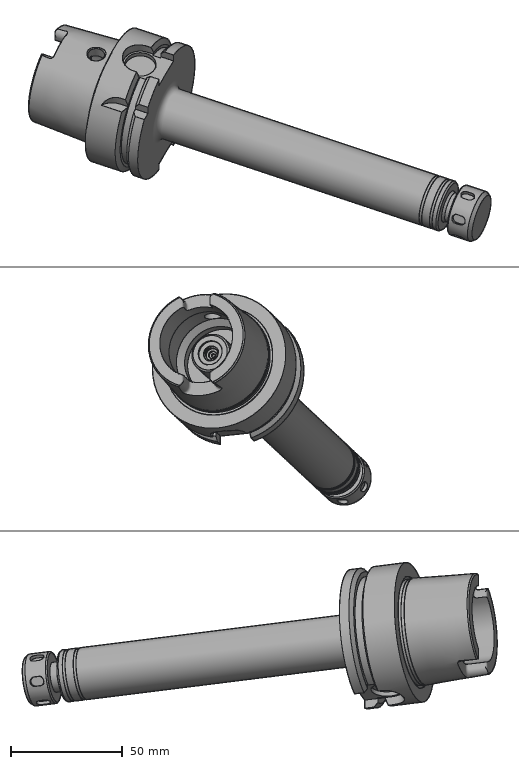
import cadquery as cq


length = 212.0

taper_front_radius = 45.5 / 2
taper_back_radius = 24.2
taper_end = 29.7
mouth_chamfer = 0.6
neck_radius = 23.7
neck_end = 31.2
collar_radius = 24.0

flange_start = 32.0
flange_end = 57.7
flange_radius = 63.0 / 2
relief_radius = 25.2
relief_depth = 0.6
groove_start = 46.6
groove_end = 53.2
groove_floor_radius = 55.0 / 2
groove_floor_start = 48.0
groove_floor_end = 51.5
groove_left_wall_radius = 28.8
groove_right_wall_radius = 29.7

shank_radius = 23.5 / 2
shank_end = 195.7
root_fillet = 3.0
shank_chamfer_length = 0.8
shank_chamfer_depth = 0.6
ring_starts = (186.5, 191.6)
ring_width = 1.3
ring_depth = 0.32

spindle_radius = 6.8
spindle_chamfer_length = 1.3
spindle_chamfer_depth = 0.6
nut_start = 200.1
nut_back_chamfer = 0.6
nut_front_chamfer_length = 1.7
nut_front_chamfer_depth = 1.3
nut_pocket_count = 6
nut_pocket_x = 205.2
nut_pocket_length = 6.4
nut_pocket_width = 4.2
nut_pocket_depth = 1.7

mouth_radius = 17.2
mouth_depth = 13.0
clamp_groove_radius = 18.5
clamp_groove_end = 27.1
bore_radius = 15.5
bore_cone_end = 29.7
bore_depth = 34.0
boss_radius = 9.0
boss_height = 14.5
boss_chamfer = 0.8
boss_hole_steps = ((11.2, 1.0), (7.0, 2.1), (5.7, 3.2), (3.5, 4.2), (1.7, 5.3))

access_x = 23.3
access_diameter = 7.5
access_sink_diameter = 8.7
access_sink_depth = 0.8

drive_slot_half_width = 6.1
drive_slot_flare = 3.2
drive_flare_start = 18.0
drive_slot_depth_top = 6.0
drive_slot_depth_bottom = 9.5
drive_slot_fillet = 1.3
drive_mouth_fillet = 1.0

slot_width = 16.0
slot_center_x = 45.0
slot_floor = 26.5
seat_diameter = 14.0
seat_depth = 2.1
notch_offset = 20.1
notch_center_x = 44.0
notch_width = 17.8


def revolve_about_x(profile):
    return profile.close().revolve(360, (0, 0, 0), (1, 0, 0))


def make_body():
    nut_edge_radius = shank_radius - nut_front_chamfer_depth
    profile = (
        cq.Workplane("XY")
        .lineTo(0, taper_front_radius - mouth_chamfer)
        .lineTo(mouth_chamfer, taper_front_radius)
        .lineTo(taper_end, taper_back_radius)
        .lineTo(taper_end, neck_radius)
        .lineTo(neck_end, neck_radius)
        .lineTo(neck_end, collar_radius)
        .lineTo(flange_start + relief_depth, collar_radius)
        .lineTo(flange_start + relief_depth, relief_radius)
        .lineTo(flange_start, relief_radius)
        .lineTo(flange_start, flange_radius)
        .lineTo(groove_start, flange_radius)
        .lineTo(groove_floor_start, groove_left_wall_radius)
        .lineTo(groove_floor_start, groove_floor_radius)
        .lineTo(groove_floor_end, groove_floor_radius)
        .lineTo(groove_floor_end, groove_right_wall_radius)
        .lineTo(groove_end, flange_radius)
        .lineTo(flange_end, flange_radius)
        .lineTo(flange_end, shank_radius + root_fillet)
        .radiusArc((flange_end + root_fillet, shank_radius), -root_fillet)
    )
    for start in ring_starts:
        profile = (
            profile.lineTo(start, shank_radius)
            .lineTo(start, shank_radius - ring_depth)
            .lineTo(start + ring_width, shank_radius - ring_depth)
            .lineTo(start + ring_width, shank_radius)
        )
    profile = (
        profile.lineTo(shank_end - shank_chamfer_length, shank_radius)
        .lineTo(shank_end, shank_radius - shank_chamfer_depth)
        .lineTo(shank_end, spindle_radius + spindle_chamfer_depth)
        .lineTo(shank_end + spindle_chamfer_length, spindle_radius)
        .lineTo(nut_start, spindle_radius)
        .lineTo(nut_start, shank_radius - nut_back_chamfer)
        .lineTo(nut_start + nut_back_chamfer, shank_radius)
        .lineTo(length - nut_front_chamfer_length, shank_radius)
        .lineTo(length, nut_edge_radius)
        .lineTo(length, 0)
    )
    return revolve_about_x(profile)


def make_bore():
    """Bore with a clamping groove that leaves a drilled boss standing on its floor."""
    boss_top = bore_depth - boss_height
    bore = revolve_about_x(
        cq.Workplane("XY")
        .lineTo(0, mouth_radius)
        .lineTo(mouth_depth, mouth_radius)
        .lineTo(mouth_depth, clamp_groove_radius)
        .lineTo(clamp_groove_end, clamp_groove_radius)
        .lineTo(bore_cone_end, bore_radius)
        .lineTo(bore_depth, bore_radius)
        .lineTo(bore_depth, boss_radius)
        .lineTo(boss_top + boss_chamfer, boss_radius)
        .lineTo(boss_top, boss_radius - boss_chamfer)
        .lineTo(boss_top, 0)
    )
    for diameter, depth in boss_hole_steps:
        bore = bore.union(cq.Workplane("YZ", (boss_top, 0, 0)).circle(diameter / 2).extrude(depth))
    return bore


def make_access_hole():
    """Hole through the +Z taper wall into the clamping groove, countersunk at the outside."""
    taper_slope = (taper_back_radius - taper_front_radius) / (taper_end - mouth_chamfer)
    surface = taper_front_radius + taper_slope * (access_x - mouth_chamfer)
    hole_radius = access_diameter / 2
    sink_radius = access_sink_diameter / 2
    profile = (
        cq.Workplane("XZ", (access_x, 0, 0))
        .moveTo(0, bore_radius)
        .lineTo(hole_radius, bore_radius)
        .lineTo(hole_radius, surface - access_sink_depth)
        .lineTo(sink_radius, surface)
        .lineTo(sink_radius, flange_radius)
        .lineTo(0, flange_radius)
    )
    return profile.close().revolve(360, (0, 0, 0), (0, 1, 0))


def make_drive_slot(depth):
    """Mouth slot on the +Z side whose walls flare out in an arc at the taper surface."""
    half = drive_slot_half_width
    wide = half + drive_slot_flare
    flare_end = drive_flare_start + drive_slot_flare
    slot = (
        cq.Workplane("YZ")
        .moveTo(-half, 0)
        .lineTo(half, 0)
        .lineTo(half, drive_flare_start)
        .radiusArc((wide, flare_end), drive_slot_flare)
        .lineTo(wide, flange_radius)
        .lineTo(-wide, flange_radius)
        .lineTo(-wide, flare_end)
        .radiusArc((-half, drive_flare_start), drive_slot_flare)
        .close()
        .extrude(depth)
    )
    slot = slot.faces(">X").edges("not(<Z or >Z)").fillet(drive_slot_fillet)
    rounded_mouth = (
        cq.Workplane("XY")
        .moveTo(0, -half - drive_mouth_fillet)
        .radiusArc((drive_mouth_fillet, -half), drive_mouth_fillet)
        .lineTo(drive_mouth_fillet, half)
        .radiusArc((0, half + drive_mouth_fillet), drive_mouth_fillet)
        .close()
        .extrude(flare_end)
    )
    return slot.union(rounded_mouth)


def make_round_ended_slot(center_x, center_y, width, floor):
    """Vertical slot above Z = floor, round at its left end and open at the flange end."""
    height = flange_radius - floor
    base = cq.Workplane("XY", (center_x, center_y, floor))
    straight = base.box(flange_end - center_x, width, height, centered=(False, True, False))
    return straight.union(base.circle(width / 2).extrude(height))


def make_nut_pocket(angle):
    floor = shank_radius - nut_pocket_depth
    return (
        cq.Workplane("XY", (nut_pocket_x, 0, floor))
        .slot2D(nut_pocket_length, nut_pocket_width)
        .extrude(2 * nut_pocket_depth)
        .rotate((0, 0, 0), (1, 0, 0), angle)
    )


def turned_over(shape):
    return shape.rotate((0, 0, 0), (1, 0, 0), 180)


result = make_body().cut(make_bore()).cut(make_access_hole())

result = result.cut(make_drive_slot(drive_slot_depth_top))
result = result.cut(turned_over(make_drive_slot(drive_slot_depth_bottom)))

flange_slot = make_round_ended_slot(slot_center_x, 0, slot_width, slot_floor)
seat = (
    cq.Workplane("XY", (slot_center_x, 0, slot_floor - seat_depth))
    .circle(seat_diameter / 2)
    .extrude(seat_depth)
)
flange_slot = flange_slot.union(seat)
result = result.cut(flange_slot).cut(turned_over(flange_slot))

notch_center_y = -notch_offset - notch_width / 2
notch = make_round_ended_slot(notch_center_x, notch_center_y, notch_width, notch_offset)
result = result.cut(notch)

for index in range(nut_pocket_count):
    result = result.cut(make_nut_pocket(360 / nut_pocket_count * index))